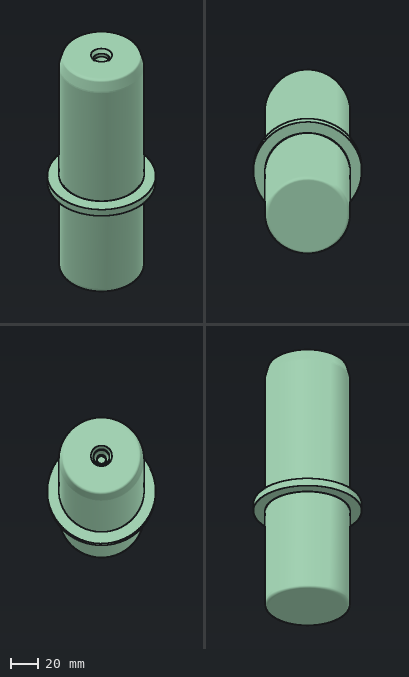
import cadquery as cq
import math

total_length = 200.0
body_radius = 63.0 / 2
collar_radius = 80.0 / 2
collar_bottom = 80.0
collar_top = 86.0

upper_root_chamfer = 1.2
lower_root_chamfer = 0.5

lead_in_angle = math.radians(15)
lead_in_length = 10.0
lead_in_blend = 5.0
tail_angle = math.radians(5)
tail_length = 4.0
end_radius = 2.5

hole_cone_half_angle = math.radians(30)
mouth_radius = 7.8
recess_radius = 5.9
pilot_radius = 3.5
recess_length = 3.0
hole_depth = 16.0


def edges_at(height):
    """Selector for the circular edges lying at one height."""
    margin = 0.02
    reach = 2 * collar_radius
    return cq.selectors.BoxSelector(
        (-reach, -reach, height - margin), (reach, reach, height + margin), boundingbox=True
    )


def revolve_profile(points):
    """Solid of revolution about Z from (radius, height) points."""
    return cq.Workplane("XZ").polyline(points).close().revolve(360, (0, 0, 0), (0, 1, 0))


def make_body():
    lead_in_start = total_length - lead_in_length
    top_radius = body_radius - lead_in_length * math.tan(lead_in_angle)
    bottom_radius = body_radius - tail_length * math.tan(tail_angle)
    body = revolve_profile([
        (0, 0),
        (bottom_radius, 0),
        (body_radius, tail_length),
        (body_radius, collar_bottom - lower_root_chamfer),
        (body_radius - lower_root_chamfer, collar_bottom),
        (collar_radius, collar_bottom),
        (collar_radius, collar_top),
        (body_radius - upper_root_chamfer, collar_top),
        (body_radius, collar_top + upper_root_chamfer),
        (body_radius, lead_in_start),
        (top_radius, total_length),
        (0, total_length),
    ])
    body = body.edges(edges_at(lead_in_start)).fillet(lead_in_blend)
    for end in (0, total_length):
        body = body.edges(edges_at(end)).fillet(end_radius)
    return body


def make_centre_hole():
    mouth_cone_length = (mouth_radius - recess_radius) / math.tan(hole_cone_half_angle)
    inner_cone_length = (recess_radius - pilot_radius) / math.tan(hole_cone_half_angle)
    recess_top = total_length - mouth_cone_length
    recess_bottom = recess_top - recess_length
    pilot_top = recess_bottom - inner_cone_length
    pilot_bottom = total_length - hole_depth
    return revolve_profile([
        (0, total_length),
        (mouth_radius, total_length),
        (recess_radius, recess_top),
        (recess_radius, recess_bottom),
        (pilot_radius, pilot_top),
        (pilot_radius, pilot_bottom),
        (0, pilot_bottom),
    ])


result = make_body().cut(make_centre_hole())